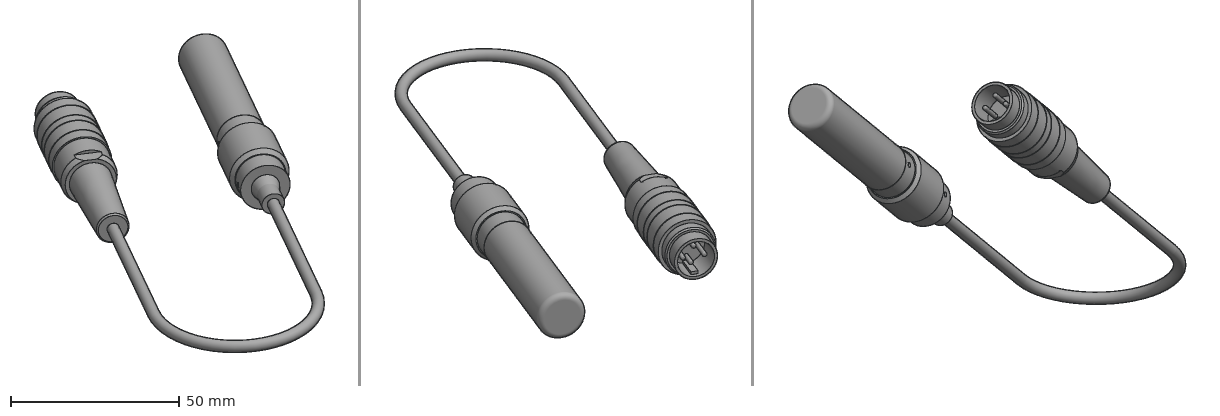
import cadquery as cq
import math

TILT = -13.2

CABLE_DIA = 3.7
BEND_RADIUS = 24.8
CABLE_INSERTION = 4.8

PROBE_TIP = -142.7
COUPLING_START = -93.0
COLLAR_START = -86.9
COLLAR_END = -69.3
COUPLING_END = -63.0
GLAND_CONE_END = -59.0
GLAND_END = -53.2

PROBE_DIA = 15.0
PROBE_TIP_FILLET = 1.8
COUPLING_DIA = 15.2
COLLAR_DIA = 18.2
COLLAR_FRONT_CHAMFER = 1.1
COLLAR_REAR_CHAMFER = 1.3
GLAND_CONE_DIA = 8.7
GLAND_DIA = 7.0

COUPLING_HOLE_DIA = 1.48
COUPLING_HOLE_DEPTH = 0.8
COUPLING_HOLE_PLACES = (-90.6, -66.3)

PLUG_FRONT = -120.5
NOSE_END = -115.7
SHOULDER_END = -112.4
GRIP_END = -89.5
REAR_CHAMFER_START = -80.6
PLUG_REAR = -78.5
BOOT_END = -50.6

NOSE_DIA = 13.5
SHOULDER_DIA = 16.0
SHOULDER_CHAMFER = 0.5
GRIP_DIA = 18.2
GRIP_BAND_DIA = 18.5
REAR_DIA = 17.2
PLUG_REAR_DIA = 15.6

GRIP_BANDS = ((-108.2, -102.4), (-99.1, -93.5))

FLAT_START = -82.4
FLAT_HALF_HEIGHT = 7.5

SOCKET_DIA = 11.6
SOCKET_DEPTH = 9.0
PIN_DIA = 1.48
PIN_LENGTH = 7.4
BOTTOM_PIN_LENGTH = 4.8
PIN_TIP_FILLET = 0.5
PIN_CIRCLE_RADIUS = 3.4
PIN_ANGLES = (0, 90, 180)
BOTTOM_PIN_ANGLE = 270
KEY_WIDTH = 2.3
KEY_HEIGHT = 1.0
KEY_DEPTH_IN_WALL = 0.5
KEY_LENGTH = 7.5

BOOT_FRONT_DIA = 13.0
BOOT_REAR_DIA = 10.0
BOOT_END_CHAMFER = 0.5


def turned(profile, axis_y):
    """Revolve (x, radius) points about the line along X at Y = axis_y."""
    points = [(profile[0][0], 0), *profile, (profile[-1][0], 0)]
    body = cq.Workplane("XY").polyline(points).close().revolve(360, (0, 0), (1, 0))
    return body.translate((0, axis_y, 0))


def rod(start, end, diameter, y, z=0):
    """A cylinder along X from start to end."""
    return cq.Workplane("YZ", origin=(start, y, z)).circle(diameter / 2).extrude(end - start)


def make_probe():
    probe = rod(PROBE_TIP, COUPLING_START, PROBE_DIA, BEND_RADIUS)
    return probe.faces("<X").edges().fillet(PROBE_TIP_FILLET)


def make_coupling():
    coupling_radius = COUPLING_DIA / 2
    collar_radius = COLLAR_DIA / 2
    coupling = turned(
        [
            (COUPLING_START, coupling_radius),
            (COLLAR_START, coupling_radius),
            (COLLAR_START, collar_radius - COLLAR_FRONT_CHAMFER),
            (COLLAR_START + COLLAR_FRONT_CHAMFER, collar_radius),
            (COLLAR_END - COLLAR_REAR_CHAMFER, collar_radius),
            (COLLAR_END, collar_radius - COLLAR_REAR_CHAMFER),
            (COLLAR_END, coupling_radius),
            (COUPLING_END, coupling_radius),
            (COUPLING_END, GLAND_CONE_DIA / 2),
            (GLAND_CONE_END, GLAND_DIA / 2),
            (GLAND_END, GLAND_DIA / 2),
        ],
        BEND_RADIUS,
    )
    outer_y = BEND_RADIUS - coupling_radius
    for place in COUPLING_HOLE_PLACES:
        hole = (
            cq.Workplane("XZ", origin=(place, outer_y + COUPLING_HOLE_DEPTH, 0))
            .circle(COUPLING_HOLE_DIA / 2)
            .extrude(2 * COUPLING_HOLE_DEPTH)
        )
        coupling = coupling.cut(hole)
    return coupling.cut(rod(GLAND_END - CABLE_INSERTION, GLAND_END, CABLE_DIA, BEND_RADIUS))


def make_pin(base, angle, length):
    """A contact pin with a rounded tip, at an angle in degrees around the plug's axis."""
    pin_y = -BEND_RADIUS + PIN_CIRCLE_RADIUS * math.cos(math.radians(angle))
    pin_z = PIN_CIRCLE_RADIUS * math.sin(math.radians(angle))
    pin = rod(base - length, base, PIN_DIA, pin_y, pin_z)
    return pin.faces("<X").edges().fillet(PIN_TIP_FILLET)


def make_plug():
    profile = [
        (PLUG_FRONT, NOSE_DIA / 2),
        (NOSE_END, NOSE_DIA / 2),
        (NOSE_END, SHOULDER_DIA / 2 - SHOULDER_CHAMFER),
        (NOSE_END + SHOULDER_CHAMFER, SHOULDER_DIA / 2),
        (SHOULDER_END, SHOULDER_DIA / 2),
        (SHOULDER_END, GRIP_DIA / 2),
    ]
    for start, end in GRIP_BANDS:
        profile += [
            (start, GRIP_DIA / 2),
            (start, GRIP_BAND_DIA / 2),
            (end, GRIP_BAND_DIA / 2),
            (end, GRIP_DIA / 2),
        ]
    profile += [
        (GRIP_END, GRIP_DIA / 2),
        (GRIP_END, REAR_DIA / 2),
        (REAR_CHAMFER_START, REAR_DIA / 2),
        (PLUG_REAR, PLUG_REAR_DIA / 2),
    ]
    plug = turned(profile, -BEND_RADIUS)

    flat_length = PLUG_REAR - FLAT_START
    for side in (1, -1):
        waste = cq.Workplane("XY").box(flat_length, GRIP_DIA, GRIP_DIA).translate(
            (FLAT_START + flat_length / 2, -BEND_RADIUS, side * (FLAT_HALF_HEIGHT + GRIP_DIA / 2))
        )
        plug = plug.cut(waste)

    socket_floor = PLUG_FRONT + SOCKET_DEPTH
    plug = plug.cut(rod(PLUG_FRONT, socket_floor, SOCKET_DIA, -BEND_RADIUS))

    for angle in PIN_ANGLES:
        plug = plug.union(make_pin(socket_floor, angle, PIN_LENGTH))
    plug = plug.union(make_pin(socket_floor, BOTTOM_PIN_ANGLE, BOTTOM_PIN_LENGTH))

    key_bottom = -SOCKET_DIA / 2 - KEY_DEPTH_IN_WALL
    key = (
        cq.Workplane("XY", origin=(socket_floor - KEY_LENGTH / 2, -BEND_RADIUS, key_bottom))
        .rect(KEY_LENGTH, KEY_WIDTH)
        .extrude(KEY_DEPTH_IN_WALL + KEY_HEIGHT)
    )
    return plug.union(key)


def make_boot():
    boot = turned([(PLUG_REAR, BOOT_FRONT_DIA / 2), (BOOT_END, BOOT_REAR_DIA / 2)], -BEND_RADIUS)
    boot = boot.faces(">X").edges().chamfer(BOOT_END_CHAMFER)
    return boot.cut(rod(BOOT_END - CABLE_INSERTION, BOOT_END, CABLE_DIA, -BEND_RADIUS))


def make_cable():
    probe_end = GLAND_END - CABLE_INSERTION
    plug_end = BOOT_END - CABLE_INSERTION
    path = (
        cq.Workplane("XY")
        .moveTo(probe_end, BEND_RADIUS)
        .lineTo(0, BEND_RADIUS)
        .threePointArc((BEND_RADIUS, 0), (0, -BEND_RADIUS))
        .lineTo(plug_end, -BEND_RADIUS)
    )
    return cq.Workplane("YZ", origin=(probe_end, BEND_RADIUS, 0)).circle(CABLE_DIA / 2).sweep(path)


probe = make_probe()
coupling = make_coupling()
cable = make_cable()
plug = make_plug()
boot = make_boot()

bodies = [probe, coupling, cable, plug, boot]
result = cq.Compound.makeCompound([body.rotate((0, 0, 0), (0, 0, 1), TILT).val() for body in bodies])